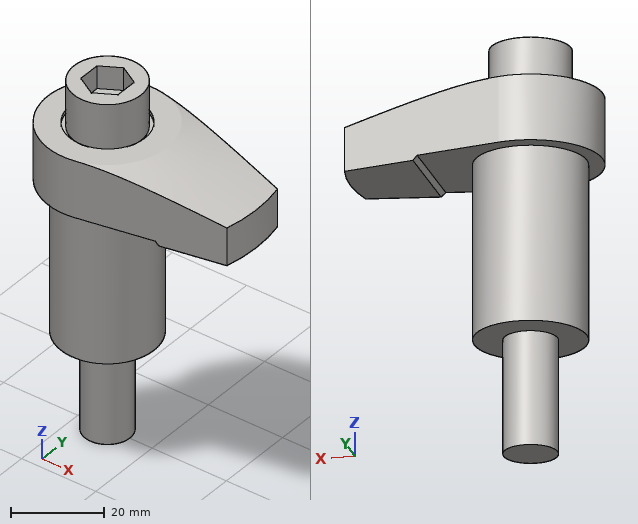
import cadquery as cq
import math


collar_radius = 16.0
collar_height = 15.0
sleeve_diameter = 25.0
sleeve_length = 40.0
arm_reach = 40.0
arm_tip_width = 18.0
arm_top_drop = 6.0
foot_depth = 1.0
foot_start = 22.0
foot_slope_length = 1.0
recess_diameter = 20.0
recess_depth = 1.0

screw_diameter = 12.0
head_diameter = 18.0
head_height = 12.0
shank_protrusion = 26.0
hex_across_flats = 10.0
hex_depth = 6.0

recess_floor = collar_height - recess_depth
sleeve_bottom = -sleeve_length
shank_length = recess_floor - sleeve_bottom + shank_protrusion
head_top = recess_floor + head_height


def make_plan_prism():
    """Prism of the collar and arm plan, with sides tangent to the collar circle."""
    tip_half_width = arm_tip_width / 2
    tip_x = math.sqrt(arm_reach**2 - tip_half_width**2)
    tip_angle = math.asin(tip_half_width / arm_reach)
    tangent_angle = tip_angle + math.acos(collar_radius / arm_reach)
    tangent_x = collar_radius * math.cos(tangent_angle)
    tangent_y = collar_radius * math.sin(tangent_angle)
    return (
        cq.Workplane("XY", origin=(0, 0, -foot_depth))
        .moveTo(tangent_x, tangent_y)
        .threePointArc((-collar_radius, 0), (tangent_x, -tangent_y))
        .lineTo(tip_x, -tip_half_width)
        .threePointArc((arm_reach, 0), (tip_x, tip_half_width))
        .close()
        .extrude(collar_height + foot_depth)
    )


def make_top_envelope():
    """Flat over the collar, then a cone falling to the arm tip, open below."""
    tip_height = collar_height - arm_top_drop
    return (
        cq.Workplane("XZ")
        .moveTo(0, -foot_depth)
        .lineTo(arm_reach, -foot_depth)
        .lineTo(arm_reach, tip_height)
        .lineTo(collar_radius, collar_height)
        .lineTo(0, collar_height)
        .close()
        .revolve(360, (0, 0), (0, 1))
    )


def make_underside_cut():
    """Clears the underside up to Z = 0, leaving the foot under the arm tip."""
    return (
        cq.Workplane("XZ")
        .moveTo(-collar_radius, -foot_depth)
        .lineTo(foot_start + foot_slope_length, -foot_depth)
        .lineTo(foot_start, 0)
        .lineTo(-collar_radius, 0)
        .close()
        .extrude(collar_radius, both=True)
    )


def make_clamp():
    arm = make_plan_prism().intersect(make_top_envelope()).cut(make_underside_cut())
    sleeve = cq.Workplane("XY").circle(sleeve_diameter / 2).extrude(-sleeve_length)
    bore = (
        cq.Workplane("XY", origin=(0, 0, sleeve_bottom))
        .circle(screw_diameter / 2)
        .extrude(sleeve_length + collar_height)
    )
    recess = (
        cq.Workplane("XY", origin=(0, 0, recess_floor))
        .circle(recess_diameter / 2)
        .extrude(recess_depth)
    )
    return arm.union(sleeve).cut(bore).cut(recess)


def make_screw():
    seat = cq.Workplane("XY", origin=(0, 0, recess_floor))
    head = seat.circle(head_diameter / 2).extrude(head_height)
    shank = seat.circle(screw_diameter / 2).extrude(-shank_length)
    hex_across_corners = hex_across_flats / math.cos(math.pi / 6)
    socket = (
        cq.Workplane("XY", origin=(0, 0, head_top))
        .transformed(rotate=(0, 0, 90))
        .polygon(6, hex_across_corners)
        .extrude(-hex_depth)
    )
    return head.union(shank).cut(socket)


clamp = make_clamp()
screw = make_screw()

result = cq.Compound.makeCompound([clamp.val(), screw.val()])